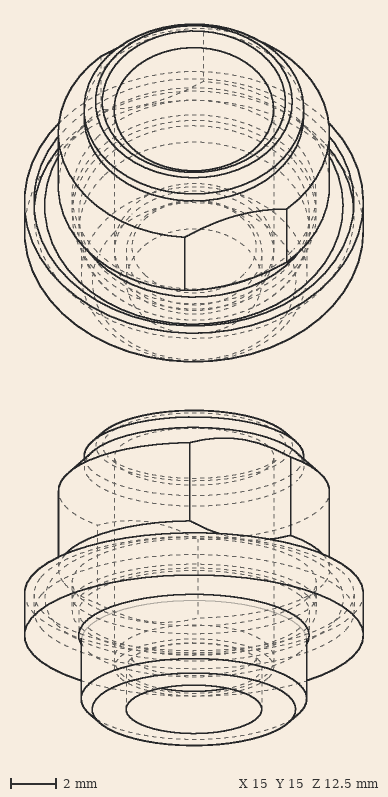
import cadquery as cq
import math

height = 12.5
flange_bottom = 3.5
flange_top = 5.49

shank_radius = 5.0
shank_chamfer = 0.5
seat_radius = 5.1
flare_height = 0.24
neck_radius = 5.4
head_radius = 6.0
head_bottom = 6.63
head_top = 10.34
flats_width = 11.0
collar_radius = 4.86
collar_bottom = 11.49
collar_chamfer = 0.51

bore_radius = 3.52
mouth_radius = 4.05
mouth_depth = 0.52
outlet_radius = 3.0
lip_height = 2.0

outer_seal_section = 0.6
outer_seal_proud = 0.35
inner_seal_section = 0.39

flange_radius = 7.5
cup_radius = 7.08

cup_floor = flange_top + outer_seal_proud - 2 * outer_seal_section
neck_top = head_bottom - (head_radius - neck_radius)


def make_housing():
    """Turned fitting with a stepped bore and two wrench flats on the head."""
    flare_start = flange_bottom - flare_height
    flare_width = seat_radius - shank_radius
    arc_radius = (flare_height**2 + flare_width**2) / (2 * flare_width)
    half_rise = flare_height / 2
    half_width = arc_radius - math.sqrt(arc_radius**2 - half_rise**2)
    turned = (
        cq.Workplane("XZ")
        .moveTo(outlet_radius, 0)
        .lineTo(shank_radius - shank_chamfer, 0)
        .lineTo(shank_radius, shank_chamfer)
        .lineTo(shank_radius, flare_start)
        .threePointArc((shank_radius + half_width, flare_start + half_rise), (seat_radius, flange_bottom))
        .lineTo(seat_radius, cup_floor)
        .lineTo(neck_radius, cup_floor)
        .lineTo(neck_radius, neck_top)
        .lineTo(head_radius, head_bottom)
        .lineTo(head_radius, head_top)
        .lineTo(collar_radius, collar_bottom)
        .lineTo(collar_radius, height - collar_chamfer)
        .lineTo(collar_radius - collar_chamfer, height)
        .lineTo(mouth_radius, height)
        .lineTo(bore_radius, height - mouth_depth)
        .lineTo(bore_radius, lip_height)
        .lineTo(outlet_radius, lip_height)
        .close()
        .revolve(360, (0, 0), (0, 1))
    )
    between_flats = cq.Workplane("XY").box(
        flats_width, 2 * head_radius, height, centered=(True, True, False)
    )
    return turned.intersect(between_flats)


def make_flange_ring():
    """Cupped ring around the seat, holding the outer seal."""
    ring = (
        cq.Workplane("XY", origin=(0, 0, flange_bottom))
        .circle(flange_radius)
        .circle(seat_radius)
        .extrude(flange_top - flange_bottom)
    )
    cup = cq.Workplane("XY", origin=(0, 0, cup_floor)).circle(cup_radius).extrude(flange_top - cup_floor)
    return ring.cut(cup)


def make_seal(center_radius, section_radius, bottom):
    """Round-section seal ring lying flat on the given height."""
    return (
        cq.Workplane("XZ")
        .center(center_radius, bottom + section_radius)
        .circle(section_radius)
        .revolve(360, (-center_radius, 0), (-center_radius, 1))
    )


housing = make_housing()
flange_ring = make_flange_ring()
outer_seal = make_seal(neck_radius + outer_seal_section, outer_seal_section, cup_floor)
inner_seal = make_seal(bore_radius - inner_seal_section, inner_seal_section, lip_height)

result = cq.Compound.makeCompound(
    [*housing.solids().vals(), *flange_ring.solids().vals(), outer_seal.val(), inner_seal.val()]
)